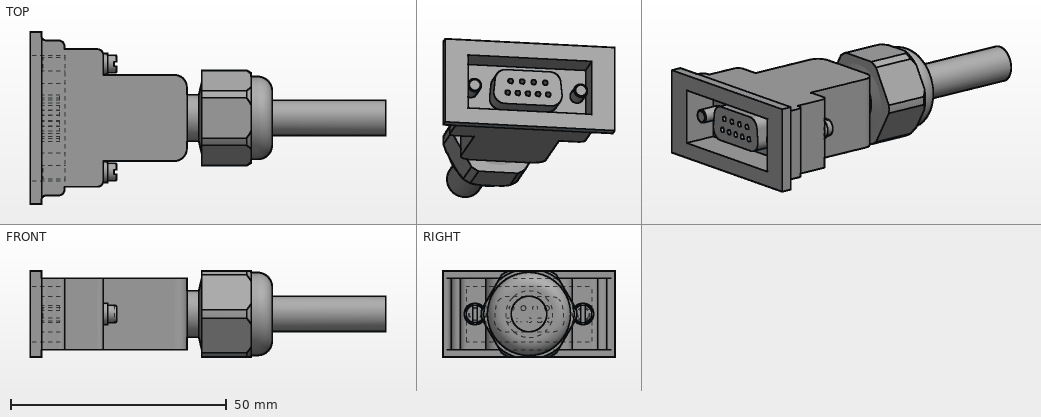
import cadquery as cq
import math


total_length = 82.4

flange_thickness = 2.6
flange_width = 40.0
flange_height = 20.0

hood_height = 16.65
base_width = 36.0
base_end = 8.0
shoulder_width = 32.0
shoulder_end = 17.0
neck_width = 20.0
neck_end = 36.3
step_radius = 1.5
neck_radius = 3.0
flange_fillet = 1.0

recess_width = 29.2
recess_height = 12.8
recess_depth = 8.0

insert_face = 2.6
insert_height = 8.15
insert_top_width = 15.0
insert_bottom_width = 16.65
insert_radius = 2.55

contact_diameter = 1.15
contact_depth = 4.0
contact_offset = 1.4
upper_count = 4
upper_pitch = 2.7
lower_count = 5
lower_pitch = 2.4

screw_spacing = 25.05
shank_tip = 2.6
shank_radius = 1.6
tip_chamfer = 0.25
washer_thickness = 1.0
washer_radius = 2.5
head_thickness = 2.1
head_radius = 2.1
head_fillet = 0.4
slot_width = 1.0
slot_depth = 0.6

gland_stem_radius = 5.4
collar_start = 39.05
collar_radius = 8.2
nut_start = 39.7
nut_end = 51.2
nut_across_flats = 20.0
nut_corner_radius = 11.05
nut_chamfer_length = 1.0
nut_chamfer_depth = 0.6
cap_end = 56.1
cap_radius = 9.6
cap_fillet = 3.5
cable_radius = 4.1


def block(start, end, width, height):
    """Box centred on the X axis between two X positions."""
    return cq.Workplane("XY").box(end - start, width, height).translate(((start + end) / 2, 0, 0))


def rod(start, end, radius, y=0, z=0):
    """Cylinder parallel to X between two X positions."""
    return cq.Workplane("YZ", origin=(start, y, z)).circle(radius).extrude(end - start)


def make_hood():
    flange = block(0, flange_thickness, flange_width, flange_height)
    base = block(0, base_end, base_width, hood_height).edges(">X and |Z").fillet(step_radius)
    shoulder = block(0, shoulder_end, shoulder_width, hood_height).edges(">X and |Z").fillet(step_radius)
    neck = block(0, neck_end, neck_width, hood_height).edges(">X and |Z").fillet(neck_radius)
    hood = flange.union(base).union(shoulder).union(neck)
    for side in (-1, 1):
        corner = block(flange_thickness, flange_thickness + flange_fillet, flange_fillet, hood_height)
        corner = corner.translate((0, side * (base_width + flange_fillet) / 2, 0))
        relief = cq.Workplane("XY").circle(flange_fillet).extrude(hood_height / 2, both=True)
        relief = relief.translate((flange_thickness + flange_fillet, side * (base_width / 2 + flange_fillet), 0))
        hood = hood.union(corner.cut(relief))
    return hood.cut(block(0, recess_depth, recess_width, recess_height))


def make_insert():
    top, bottom = insert_top_width / 2, insert_bottom_width / 2
    half_height = insert_height / 2
    insert = (
        cq.Workplane("YZ", origin=(insert_face, 0, 0))
        .polyline([(-bottom, -half_height), (bottom, -half_height), (top, half_height), (-top, half_height)])
        .close()
        .extrude(recess_depth - insert_face)
        .edges("|X")
        .fillet(insert_radius)
    )
    rows = ((upper_count, upper_pitch, contact_offset), (lower_count, lower_pitch, -contact_offset))
    for count, pitch, z in rows:
        for i in range(count):
            y = (i - (count - 1) / 2) * pitch
            insert = insert.cut(rod(insert_face, insert_face + contact_depth, contact_diameter / 2, y, z))
    return insert


def make_screw(y):
    shank = rod(shank_tip, shoulder_end, shank_radius, y).faces("<X").chamfer(tip_chamfer)
    head_start = shoulder_end + washer_thickness
    head_end = head_start + head_thickness
    washer = rod(shoulder_end, head_start, washer_radius, y)
    head = rod(shoulder_end, head_end, head_radius, y).faces(">X").edges().fillet(head_fillet)
    slot = block(head_end - slot_depth, head_end, slot_width, 2 * head_radius).translate((0, y, 0))
    return shank.union(washer).union(head.cut(slot))


def make_nut():
    across_corners = nut_across_flats / math.cos(math.pi / 6)
    hexagon = (
        cq.Workplane("YZ", origin=(nut_start, 0, 0))
        .polygon(6, across_corners)
        .extrude(nut_end - nut_start)
    )
    turned = rod(nut_start, nut_end, nut_corner_radius)
    turned = turned.faces(">X").chamfer(nut_chamfer_length, nut_chamfer_depth)
    return hexagon.intersect(turned)


def make_gland():
    stem = rod(neck_end, nut_start, gland_stem_radius)
    collar = (
        cq.Workplane("XY")
        .moveTo(collar_start, 0)
        .lineTo(collar_start, gland_stem_radius)
        .lineTo(nut_start, collar_radius)
        .lineTo(nut_start, 0)
        .close()
        .revolve(360, (0, 0, 0), (1, 0, 0))
    )
    cap = rod(nut_end, cap_end, cap_radius).faces(">X").edges().fillet(cap_fillet)
    cable = rod(cap_end, total_length, cable_radius)
    return stem.union(collar).union(make_nut()).union(cap).union(cable)


result = make_hood().union(make_insert()).union(make_gland())
for side in (-1, 1):
    result = result.union(make_screw(side * screw_spacing / 2))